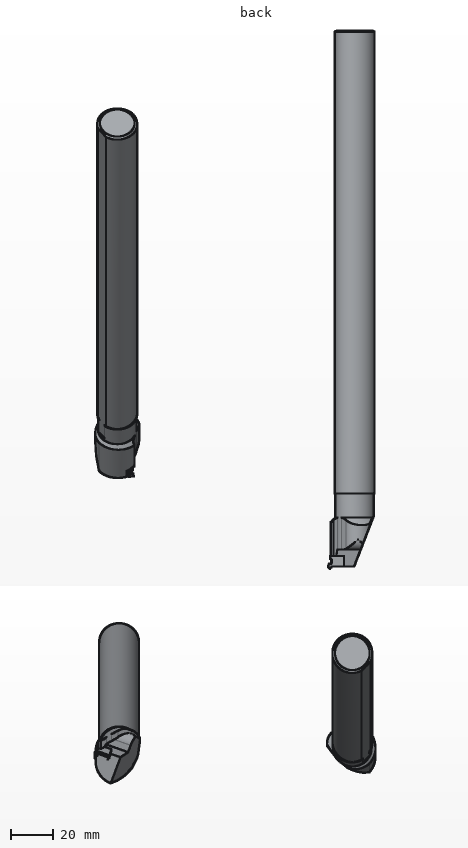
import cadquery as cq
import math

total_length = 255.2
overall_width = 22.2

neck_diameter = 18.5
neck_step = 0.33
shank_radius = neck_diameter / 2 + neck_step
shank_bottom_z = 35.7
top_chamfer_width = 1.3
top_chamfer_height = 0.8
flat_depth = 0.54
flat_bottom_z = 26.0
flat_y = -(shank_radius - flat_depth)

head_bottom_z = 1.0
head_top_z = 24.2
head_radius = 11.0
head_center_x = 0.3
head_side_y = 2.0
crease_point = (head_center_x, -head_radius)
front_arc_middle = (8.0, -7.7)
left_arc_middle = (-6.5, -8.2)
left_arc_end = (-9.2, 1.3)
side_flat_start_x = 10.0
lobe_top_y = 12.5
lobe_top = (-1.5, lobe_top_y)
lobe_right_end = (4.0, 9.5)
lobe_left_end = (-7.1, 9.7)
shoulder_max_radius = 15.3
cutter_size = 51.0

relief_top = (-shank_radius, 26.0)
relief_bottom = (0.0, 1.5)

pocket_roof_z = 9.2
pocket_floor_y = 4.3
pocket_floor_bottom_y = 2.5
lobe_round = 4.5

insert_back_y = -2.3
insert_front_y = 0.5
insert_clearance_angle = 20.0
insert_inner_x = 5.0
insert_upper_z = 6.0
insert_edge_x = 11.7
insert_tip_x = overall_width - shank_radius
notch_diameter = 2.27
notch_center_z = 3.5


def make_shank():
    """Round shank with a chamfered end, reduced neck and one long flat."""
    shank = (
        cq.Workplane("XY").workplane(offset=shank_bottom_z)
        .circle(shank_radius).extrude(total_length - shank_bottom_z)
        .faces(">Z").chamfer(top_chamfer_height, top_chamfer_width)
    )
    neck = (
        cq.Workplane("XY").workplane(offset=head_bottom_z)
        .circle(neck_diameter / 2).extrude(shank_bottom_z - head_bottom_z)
    )
    flat_cutter = cq.Workplane("XY").box(
        cutter_size, cutter_size, total_length, centered=(True, False, False)
    ).translate((0, flat_y - cutter_size, flat_bottom_z))
    return shank.union(neck.cut(flat_cutter)).cut(flat_cutter)


def make_head_blank():
    """Lobed prism whose top is trimmed by a 45 degree conical shoulder."""
    blank = (
        cq.Workplane("XY").workplane(offset=head_bottom_z)
        .moveTo(*crease_point)
        .threePointArc(front_arc_middle, (head_center_x + head_radius, head_side_y))
        .lineTo(side_flat_start_x, head_side_y)
        .lineTo(*lobe_right_end)
        .threePointArc(lobe_top, lobe_left_end)
        .lineTo(*left_arc_end)
        .threePointArc(left_arc_middle, crease_point)
        .close()
        .extrude(head_top_z - head_bottom_z)
    )
    shoulder_drop = shoulder_max_radius - neck_diameter / 2
    envelope = (
        cq.Workplane("XZ")
        .polyline([
            (0, 0),
            (shoulder_max_radius, 0),
            (shoulder_max_radius, head_top_z - shoulder_drop),
            (neck_diameter / 2, head_top_z),
            (0, head_top_z),
        ])
        .close().revolve(360, (0, 0), (0, 1))
    )
    return blank.intersect(envelope)


def make_relief_cutter():
    """Wedge outside the sloping plane on the -X side."""
    slope = (relief_bottom[0] - relief_top[0]) / (relief_top[1] - relief_bottom[1])
    foot_x = relief_bottom[0] + slope * relief_bottom[1]
    return (
        cq.Workplane("XZ")
        .polyline([(foot_x, 0), relief_top, (-cutter_size, relief_top[1]), (-cutter_size, 0)])
        .close().extrude(cutter_size / 2, both=True)
    )


def make_pocket_cutter():
    """Chip pocket under the lobe, including the rounded lower edge of the lobe."""
    round_start_y = lobe_top_y - lobe_round
    round_sag = lobe_round * (1 - math.cos(math.radians(45)))
    return (
        cq.Workplane("YZ")
        .moveTo(pocket_floor_bottom_y, head_bottom_z)
        .lineTo(pocket_floor_y, pocket_roof_z)
        .lineTo(round_start_y, pocket_roof_z)
        .threePointArc(
            (lobe_top_y - round_sag, pocket_roof_z + round_sag),
            (lobe_top_y, pocket_roof_z + lobe_round),
        )
        .lineTo(cutter_size, pocket_roof_z + lobe_round)
        .lineTo(cutter_size, head_bottom_z)
        .close().extrude(cutter_size / 2, both=True)
    )


def make_insert_outline(y):
    """Closed outline of the insert's front face, placed at the given Y."""
    return (
        cq.Workplane("XZ", origin=(0, y, 0))
        .polyline([
            (insert_inner_x, head_bottom_z),
            (insert_edge_x - head_bottom_z, head_bottom_z),
            (insert_edge_x, 0),
            (insert_tip_x, head_bottom_z),
            (insert_edge_x, notch_center_z),
            (insert_edge_x, insert_upper_z),
            (insert_inner_x, insert_upper_z),
        ])
        .close()
    )


def make_insert_plate():
    """Insert plate narrowing toward its back, before the notch is cut."""
    return make_insert_outline(insert_front_y).extrude(
        insert_front_y - insert_back_y, taper=insert_clearance_angle
    )


def make_insert():
    """Cutting insert with a round notch between its two teeth."""
    notch = (
        cq.Workplane("XZ", origin=(0, insert_front_y, 0))
        .center(insert_edge_x, notch_center_z)
        .circle(notch_diameter / 2).extrude(insert_front_y - insert_back_y)
    )
    return make_insert_plate().cut(notch)


def make_seat_cutter():
    """Seat matching the insert, continued forward into the chip pocket."""
    opening = make_insert_outline(pocket_floor_y).extrude(pocket_floor_y - insert_front_y)
    return opening.union(make_insert_plate())


def make_holder():
    """Shank and head, with a seat for the insert open toward +Y."""
    return (
        make_shank().union(make_head_blank())
        .cut(make_relief_cutter()).cut(make_pocket_cutter()).cut(make_seat_cutter())
    )


holder = make_holder()
insert = make_insert()
result = cq.Compound.makeCompound([holder.solids().val(), insert.solids().val()])